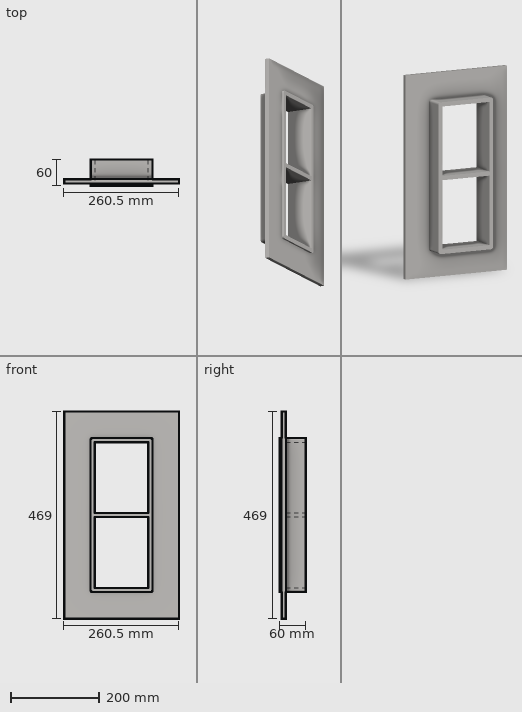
import cadquery as cq

plate_width = 260.5
plate_height = 469.0
plate_thickness = 10.0

plate_margin = 60.0
sleeve_width = plate_width - 2 * plate_margin
sleeve_height = plate_height - 2 * plate_margin
sleeve_depth = 60.0
front_projection = 5.0
corner_radius = 5.5

wall = 10.0
window_width = sleeve_width - 2 * wall
window_height = (sleeve_height - 3 * wall) / 2
window_pitch = window_height + wall


def upright_block(width, depth, height, front_y):
    """Block centred in X and Z, extending toward +Y from front_y."""
    block = cq.Workplane("XY").box(width, depth, height, centered=(True, False, True))
    return block.translate((0, front_y, 0))


plate = upright_block(plate_width, plate_thickness, plate_height, front_projection)
sleeve = upright_block(sleeve_width, sleeve_depth, sleeve_height, 0)
sleeve = sleeve.edges("|Y").fillet(corner_radius)
result = plate.union(sleeve)

window = upright_block(window_width, sleeve_depth, window_height, 0)
for side in (-1, 1):
    result = result.cut(window.translate((0, 0, side * window_pitch / 2)))